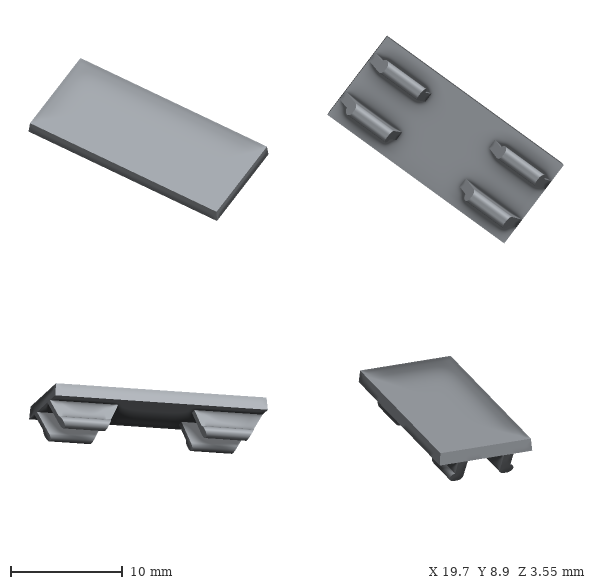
import cadquery as cq
import math

plate_length = 19.7
plate_width = 8.9
plate_thickness = 1.15
plate_draft = 5.0

hook_height = 2.4
hook_inner_y = 1.75
stem_thickness = 0.9
bead_overhang = 0.4
bead_radius = 0.49
inner_corner_radius = 0.5

hook_root_length = 6.32
outer_end_angle = 30.0
inner_end_angle = 25.0


def make_plate():
    return (
        cq.Workplane("XY")
        .rect(plate_length, plate_width)
        .extrude(plate_thickness, taper=plate_draft)
    )


def make_hook_bar():
    """Stem with a rounded outward bead, running the full plate length on the +Y side."""
    stem_outer_y = hook_inner_y + stem_thickness
    bead_outer_y = stem_outer_y + bead_overhang
    corner_centre_y = hook_inner_y + inner_corner_radius
    corner_centre_z = inner_corner_radius - hook_height
    corner_diagonal = inner_corner_radius * math.sqrt(0.5)
    bead_centre_y = bead_outer_y - bead_radius
    bead_centre_z = bead_radius - hook_height

    bead_top_z = bead_centre_z + math.sqrt(bead_radius**2 - (stem_outer_y - bead_centre_y) ** 2)

    return (
        cq.Workplane("YZ")
        .moveTo(hook_inner_y, 0)
        .lineTo(hook_inner_y, corner_centre_z)
        .threePointArc(
            (corner_centre_y - corner_diagonal, corner_centre_z - corner_diagonal),
            (corner_centre_y, -hook_height),
        )
        .lineTo(bead_centre_y, -hook_height)
        .threePointArc((bead_outer_y, bead_centre_z), (stem_outer_y, bead_top_z))
        .lineTo(stem_outer_y, 0)
        .close()
        .extrude(plate_length / 2, both=True)
    )


def make_end_trapezoid():
    """Side outline of the hooks at the -X end, as a prism across the plate width."""
    root_outer_x = -plate_length / 2
    root_inner_x = root_outer_x + hook_root_length
    tip_outer_x = root_outer_x + hook_height * math.tan(math.radians(outer_end_angle))
    tip_inner_x = root_inner_x - hook_height * math.tan(math.radians(inner_end_angle))
    return (
        cq.Workplane("XZ")
        .polyline(
            [
                (root_outer_x, 0),
                (root_inner_x, 0),
                (tip_inner_x, -hook_height),
                (tip_outer_x, -hook_height),
            ]
        )
        .close()
        .extrude(plate_width / 2, both=True)
    )


hook = make_hook_bar().intersect(make_end_trapezoid())
hook_pair = hook.union(hook.mirror("XZ"))
result = make_plate().union(hook_pair).union(hook_pair.mirror("YZ"))